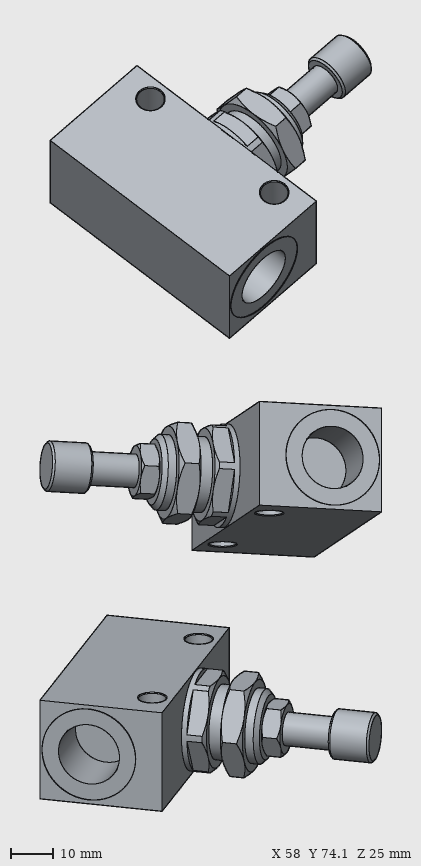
import cadquery as cq
import math


block_length = 58.0
block_depth = 30.0
block_height = 25.0

port_diameter = 15.0
port_depth = 15.0
seal_recess_diameter = 23.0
seal_recess_depth = 0.2
port_y = -block_depth + 12.0

mounting_hole_diameter = 6.5
mounting_hole_spacing = 40.0
mounting_hole_y = -5.0
mounting_hole_chamfer = 0.2

collar_end = 1.3
fixed_hex_end = 5.8
panel_nut_start = 9.2
panel_nut_end = 14.6
sleeve_end = 17.85
lock_nut_end = 22.4
knob_end = 44.1
knob_length = 10.0
knob_start = knob_end - knob_length

collar_diameter = 24.5
large_hex_flats = 22.0
lock_nut_flats = 12.0
sleeve_diameter = 18.0
sleeve_chamfer = 1.2
stem_diameter = 8.0
knob_diameter = 12.0
knob_chamfer = 0.5
hex_chamfer_angle = math.radians(30)


def cylinder(diameter, start, end):
    """Cylinder on the screw axis between two stations along Y."""
    return cq.Workplane("XZ", origin=(0, start, 0)).circle(diameter / 2).extrude(start - end)


def hexagon(flats, start, end, chamfer_start=True):
    """Hexagon with flats facing up and down, its corners cut by cones starting at the flats."""
    corner_radius = flats / math.sqrt(3)
    chamfer_run = corner_radius - flats / 2
    chamfer_drop = chamfer_run * math.tan(hex_chamfer_angle)
    prism = (
        cq.Workplane("XZ", origin=(0, start, 0))
        .polygon(6, 2 * corner_radius)
        .extrude(start - end)
    )
    envelope = cylinder(2 * corner_radius, start, end)
    envelope = envelope.faces(">Y").edges().chamfer(chamfer_drop, chamfer_run)
    if chamfer_start:
        envelope = envelope.faces("<Y").edges().chamfer(chamfer_drop, chamfer_run)
    return prism.intersect(envelope)


def make_block():
    """Block with its ports, seal recesses and mounting holes."""
    block = cq.Workplane("XY").box(block_length, block_depth, block_height)
    block = block.translate((0, -block_depth / 2, 0))

    for side in (-1, 1):
        end_plane = cq.Workplane("YZ", origin=(side * block_length / 2, port_y, 0))
        recess = end_plane.circle(seal_recess_diameter / 2).extrude(-side * seal_recess_depth)
        bore = end_plane.circle(port_diameter / 2).extrude(-side * port_depth)
        block = block.cut(recess).cut(bore)

    hole_radius = mounting_hole_diameter / 2
    for side in (-1, 1):
        hole_place = (side * mounting_hole_spacing / 2, mounting_hole_y, -block_height / 2)
        hole = cq.Workplane("XY", origin=hole_place).circle(hole_radius).extrude(block_height)
        block = block.cut(hole)
        for face in (-1, 1):
            face_place = (hole_place[0], mounting_hole_y, face * block_height / 2)
            countersink = (
                cq.Workplane("XY", origin=face_place)
                .circle(hole_radius + mounting_hole_chamfer)
                .workplane(offset=-face * mounting_hole_chamfer)
                .circle(hole_radius)
                .loft()
            )
            block = block.cut(countersink)
    return block


def make_screw():
    """Adjusting screw with its collar, hexagons, sleeve, stem and knob."""
    collar = cylinder(collar_diameter, 0, collar_end)
    fixed_hex = hexagon(large_hex_flats, collar_end, fixed_hex_end, chamfer_start=False)
    fixed_hex = fixed_hex.intersect(cylinder(collar_diameter, collar_end, fixed_hex_end))
    sleeve = cylinder(sleeve_diameter, 0, sleeve_end).faces(">Y").edges().chamfer(sleeve_chamfer)
    panel_nut = hexagon(large_hex_flats, panel_nut_start, panel_nut_end)
    lock_nut = hexagon(lock_nut_flats, sleeve_end, lock_nut_end)
    stem = cylinder(stem_diameter, 0, knob_start)
    knob = cylinder(knob_diameter, knob_start, knob_end).edges().chamfer(knob_chamfer)

    screw = collar
    for piece in (fixed_hex, sleeve, panel_nut, lock_nut, stem, knob):
        screw = screw.union(piece)
    return screw


result = make_block().union(make_screw())